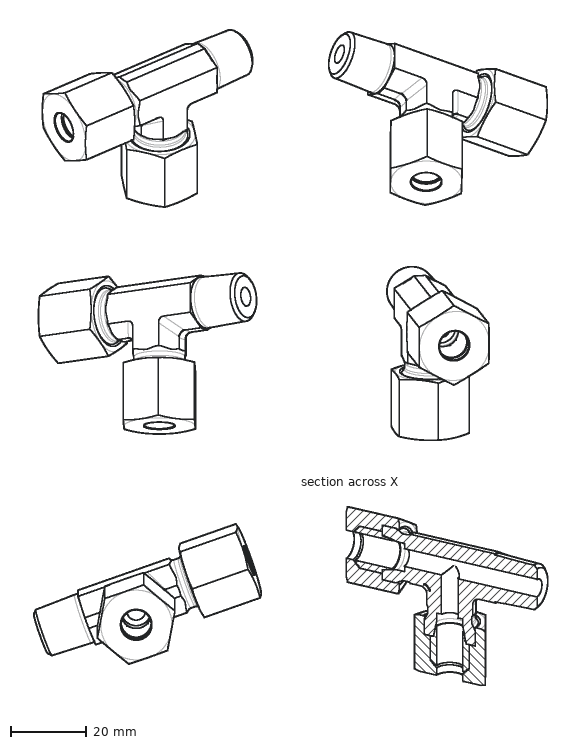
import cadquery as cq
import math


bar_across_flats = 14.0
bar_height = 14.38
junction_fillet = 1.85
bore_d = 5.0

male_shoulder = 14.0
male_collar_length = 1.1
male_end = 27.0
male_root_d = 13.7
thread_taper = 1 / 16
male_chamfer = 0.9

neck_d = 13.7
neck_start = 13.05
neck_end = 14.25
bar_end_fillet = 1.15
thread_d = 16.0
thread_lead_fillet = 1.15
thread_lead_angle = 30.0
body_face = 21.0
tube_d = 8.0
tube_stop = 14.0
seat_mouth_d = 10.0
seat_angle = 12.0

nut_across_flats = 19.0
nut_start = 15.5
nut_end = 32.0
nut_chamfer_angle = 15.0
nut_mouth_d = 16.3
nut_mouth_slope = 30.0
nut_hole_chamfer = 0.2
nut_land_length = 2.25

ring_d = 12.0
ring_front_gap = 0.7
ring_nose_wall = 0.3

bar_corner_d = bar_across_flats / math.cos(math.pi / 6)
nut_corner_d = nut_across_flats / math.cos(math.pi / 6)
neck_r = neck_d / 2
thread_r = thread_d / 2
tube_r = tube_d / 2
ring_r = ring_d / 2
lead_tan = math.tan(math.radians(thread_lead_angle))
mouth_tan = math.tan(math.radians(nut_mouth_slope))
lead_start = neck_end + thread_lead_fillet * math.sin(math.radians(thread_lead_angle))
lead_start_r = neck_r + thread_lead_fillet * (1 - math.cos(math.radians(thread_lead_angle)))
thread_start = lead_start + (thread_r - lead_start_r) / lead_tan
nut_mouth_r = nut_mouth_d / 2
lip_rise = lead_tan * (nut_start - lead_start + nut_mouth_r * mouth_tan)
lip_r = (lead_start_r + lip_rise) / (1 + lead_tan * mouth_tan)
lip_depth = nut_start + (nut_mouth_r - lip_r) * mouth_tan
nut_land_start = nut_end - nut_land_length
nut_cone_start = nut_land_start - (ring_r - tube_r)
ring_front = nut_land_start - ring_front_gap
seat_slope = math.tan(math.radians(seat_angle))
seat_depth = (seat_mouth_d - tube_d) / 2 / seat_slope
ring_nose_r = tube_r + ring_nose_wall
ring_nose_end = body_face - (seat_mouth_d / 2 - ring_nose_r) / seat_slope


def arc_middle(center, radius, start_angle, end_angle):
    """Point halfway along an arc, angles in degrees."""
    angle = math.radians((start_angle + end_angle) / 2)
    return (center[0] + radius * math.cos(angle), center[1] + radius * math.sin(angle))


def turned(profile):
    """Revolve an outline in (radius, height) about Z."""
    return profile.close().revolve(360, (0, 0, 0), (0, 1, 0))


def branch_rod(radius, start, end):
    """Round rod on the branch axis between two distances from the centre."""
    return cq.Workplane("XY").workplane(offset=-end).circle(radius).extrude(end - start)


def to_run(branch_part):
    """Swing a part from the branch axis (-Z) to the run axis (-Y)."""
    return branch_part.rotate((0, 0, 0), (1, 0, 0), -90)


def hexagon_prism(corner_d, start, end):
    """Hexagonal prism on the branch axis, corners on +Y and -Y."""
    prism = cq.Workplane("XY").workplane(offset=-end).polygon(6, corner_d).extrude(end - start)
    return prism.rotate((0, 0, 0), (0, 0, 1), 90)


def bar(start, end):
    """Hexagonal bar with the +Y and -Y corners cut flat."""
    slab = cq.Workplane("XY").box(bar_corner_d, bar_height, 4 * end)
    return hexagon_prism(bar_corner_d, start, end).intersect(slab)


def bar_end_relief():
    """Ring of material taken off the bar end, leaving a concave fillet above the neck."""
    outer_r = bar_corner_d
    fillet_center = (neck_r + bar_end_fillet, -neck_start)
    fillet_top = bar_end_fillet - neck_start
    profile = (
        cq.Workplane("XZ")
        .moveTo(neck_r, -neck_start)
        .threePointArc(arc_middle(fillet_center, bar_end_fillet, 90, 180), (fillet_center[0], fillet_top))
        .lineTo(outer_r, fillet_top)
        .lineTo(outer_r, -neck_start)
    )
    return turned(profile)


def neck_and_thread():
    """Neck, lead-in cone and thread cylinder that carry the nut."""
    fillet_center = (neck_r + thread_lead_fillet, -neck_end)
    fillet_middle = arc_middle(fillet_center, thread_lead_fillet, 180, 180 + thread_lead_angle)
    profile = (
        cq.Workplane("XZ")
        .moveTo(0, 0)
        .lineTo(neck_r, 0)
        .lineTo(neck_r, -neck_end)
        .threePointArc(fillet_middle, (lead_start_r, -lead_start))
        .lineTo(thread_r, -thread_start)
        .lineTo(thread_r, -body_face)
        .lineTo(0, -body_face)
    )
    return turned(profile)


def tube_socket():
    """Tube bore with the conical ring seat at its mouth."""
    profile = (
        cq.Workplane("XZ")
        .moveTo(0, -tube_stop)
        .lineTo(tube_r, -tube_stop)
        .lineTo(tube_r, seat_depth - body_face)
        .lineTo(seat_mouth_d / 2, -body_face)
        .lineTo(0, -body_face)
    )
    return turned(profile)


def male_end_stub():
    """Collar and tapered thread with a chamfered tip, turned on -Z."""
    root_r = male_root_d / 2
    taper_start = male_shoulder + male_collar_length
    chamfer_start = male_end - male_chamfer
    tip_r = root_r - (chamfer_start - taper_start) * thread_taper / 2
    profile = (
        cq.Workplane("XZ")
        .moveTo(0, 0)
        .lineTo(root_r, 0)
        .lineTo(root_r, -taper_start)
        .lineTo(tip_r, -chamfer_start)
        .lineTo(tip_r - male_chamfer, -male_end)
        .lineTo(0, -male_end)
    )
    return turned(profile)


def is_junction_edge(edge):
    """True for the inside corners, which lie in the planes y = z and y = -z below the run axis."""
    tolerance = 1e-4
    points = (edge.startPoint(), edge.Center(), edge.endPoint())
    return all(abs(abs(point.y) + point.z) < tolerance for point in points)


def build_body():
    """Tee body: filleted hexagonal bars with two threaded tube ends and a taper thread."""
    run_bar = to_run(bar(-male_shoulder, neck_start))
    tee = run_bar.union(bar(0, neck_start))
    junction = [edge for edge in tee.edges().vals() if is_junction_edge(edge)]
    tee = tee.newObject(junction).fillet(junction_fillet)

    tee = tee.cut(bar_end_relief()).cut(to_run(bar_end_relief()))
    tee = tee.union(neck_and_thread()).union(to_run(neck_and_thread()))
    tee = tee.union(male_end_stub().rotate((0, 0, 0), (1, 0, 0), 90))

    bore_r = bore_d / 2
    tee = tee.cut(branch_rod(bore_r, 0, body_face))
    tee = tee.cut(to_run(branch_rod(bore_r, -male_end, body_face)))
    return tee.cut(tube_socket()).cut(to_run(tube_socket()))


def build_nut():
    """Union nut: hexagon with chamfered corners and a stepped hole, on the branch axis."""
    face_r = nut_across_flats / 2
    corner_r = nut_corner_d / 2
    chamfer_drop = (corner_r - face_r) * math.tan(math.radians(nut_chamfer_angle))
    envelope = turned(
        cq.Workplane("XZ")
        .moveTo(0, -nut_start)
        .lineTo(face_r, -nut_start)
        .lineTo(corner_r, -nut_start - chamfer_drop)
        .lineTo(corner_r, chamfer_drop - nut_end)
        .lineTo(face_r, -nut_end)
        .lineTo(0, -nut_end)
    )
    hole = turned(
        cq.Workplane("XZ")
        .moveTo(0, -nut_start)
        .lineTo(nut_mouth_r, -nut_start)
        .lineTo(lip_r, -lip_depth)
        .lineTo(thread_r, -thread_start)
        .lineTo(thread_r, -body_face)
        .lineTo(ring_r, -body_face)
        .lineTo(ring_r, -nut_cone_start)
        .lineTo(tube_r, -nut_land_start)
        .lineTo(tube_r, nut_hole_chamfer - nut_end)
        .lineTo(tube_r + nut_hole_chamfer, -nut_end)
        .lineTo(0, -nut_end)
    )
    return hexagon_prism(nut_corner_d, nut_start, nut_end).intersect(envelope).cut(hole)


def build_cutting_ring():
    """Ring clamped between the nut cone and the body, its nose in the conical seat."""
    profile = (
        cq.Workplane("XZ")
        .moveTo(tube_r, -ring_nose_end)
        .lineTo(ring_nose_r, -ring_nose_end)
        .lineTo(seat_mouth_d / 2, -body_face)
        .lineTo(ring_r, -body_face)
        .lineTo(ring_r, -nut_cone_start)
        .lineTo(tube_r + ring_front_gap, -ring_front)
        .lineTo(tube_r, -ring_front)
    )
    return turned(profile)


def at_both_tube_ends(part):
    """Solids of a part placed on the branch and on the run."""
    solids = []
    for placed_part in (part, to_run(part)):
        solids.append(placed_part.solids().val())
    return solids


body = build_body().solids().val()
nuts = at_both_tube_ends(build_nut())
cutting_rings = at_both_tube_ends(build_cutting_ring())

result = cq.Compound.makeCompound([body, *nuts, *cutting_rings])